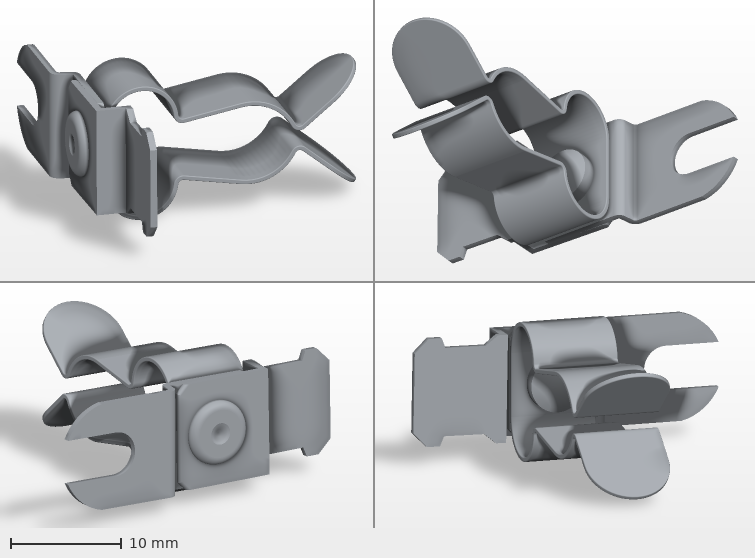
import cadquery as cq
import math


plate = 0.65
bracket_height = 9.97
shank_radius = 1.52

fork_tip_x = -16.55
fork_flat_length = 10.85
fork_end_x = 4.05
joggle_depth = 1.9
front_bend = 0.6
back_bend = 0.45
joggle_angle = 81
slot_radius = 2.07
slot_center_x = -11.5
prong_center_x = -11.85
prong_radius = 5.1
fork_corner = 0.73

tab_turn = 1.0
tab_left_x = -3.98
tab_wall_x = 5.6
tab_offset = 2.75
tab_corner = 0.8
tab_edge_round = 0.3
shoulder_x = 5.9
neck_start_x = 7.05
neck_end_x = 10.88
neck_half = 4.07
barb_x = 11.25
tab_end_x = 13.8
tab_end_corner = 1.3

strip = 0.43
strip_width = 8.0
strip_edge_round = 0.1
spring_height = 12.8
spring_bend = 0.65
loop_radius = 3.22
loop_sweep = 174
jaw_angle = 10
jaw_length = 5.45
jaw_radius = 4.65
jaw_sweep = 72
lip_angle = 39
lip_length = 7.33
lip_flat = 0.03

head_radius = 3.0
head_height = 0.75
dimple_radius = 1.0
dimple_depth = 0.45
tail_radius = 2.52
tail_length = 1.3
dome_height = 0.8


def strip_outline(plane, start, heading, steps, thickness):
    """Closed outline of a bent sheet that follows a centre line.

    Each step is (length,) for a straight or (radius, turn) for a bend;
    turn is in degrees, positive to the left.
    """
    half = thickness / 2

    def side_point(x, y, angle, side):
        return (x - side * half * math.sin(angle), y + side * half * math.cos(angle))

    x, y = start
    angle = math.radians(heading)
    first = {side: side_point(x, y, angle, side) for side in (1, -1)}
    sides = {1: [], -1: []}
    for step in steps:
        x0, y0, angle0 = x, y, angle
        middle = None
        if len(step) == 1:
            x = x0 + step[0] * math.cos(angle0)
            y = y0 + step[0] * math.sin(angle0)
        else:
            radius = math.copysign(step[0], step[1])
            center_x = x0 - radius * math.sin(angle0)
            center_y = y0 + radius * math.cos(angle0)
            angle = angle0 + math.radians(step[1])
            half_angle = (angle0 + angle) / 2
            middle = (center_x + radius * math.sin(half_angle),
                      center_y - radius * math.cos(half_angle), half_angle)
            x = center_x + radius * math.sin(angle)
            y = center_y - radius * math.cos(angle)
        for side in (1, -1):
            through = side_point(*middle, side) if middle else None
            sides[side].append((through, side_point(x, y, angle, side)))

    def draw(path, through, end):
        return path.threePointArc(through, end) if through else path.lineTo(*end)

    path = cq.Workplane(plane).moveTo(*first[1])
    for through, end in sides[1]:
        path = draw(path, through, end)
    path = path.lineTo(*sides[-1][-1][1])
    returns = [first[-1]] + [end for _, end in sides[-1][:-1]]
    for (through, _), end in zip(reversed(sides[-1]), reversed(returns)):
        path = draw(path, through, end)
    return path.close()


def along_y(radius, y_start, y_end):
    """Cylinder on the rivet axis."""
    return cq.Workplane("XZ", origin=(0, y_start, 0)).circle(radius).extrude(y_start - y_end)


rivet_hole = along_y(shank_radius, -plate, plate + strip)


def make_fork_bracket():
    rise = 1 - math.cos(math.radians(joggle_angle))
    run = math.sin(math.radians(joggle_angle))
    bend_sum = front_bend + back_bend
    web_length = (joggle_depth - bend_sum * rise) / run
    joggle_run = bend_sum * run + web_length * math.cos(math.radians(joggle_angle))
    steps = [
        (fork_flat_length,),
        (front_bend, joggle_angle),
        (web_length,),
        (back_bend, -joggle_angle),
        (fork_end_x - fork_tip_x - fork_flat_length - joggle_run,),
    ]
    start = (fork_tip_x, plate / 2 - joggle_depth)
    sheet = strip_outline("XY", start, 0, steps, plate).extrude(bracket_height / 2, both=True)
    sheet = sheet.edges("|Y and >X").chamfer(fork_corner)

    depth = 2 * joggle_depth
    prongs = cq.Workplane("XZ").center(prong_center_x, 0).circle(prong_radius).extrude(depth, both=True)
    body_length = fork_end_x - prong_center_x
    body = (
        cq.Workplane("XZ").center(prong_center_x + body_length / 2, 0)
        .rect(body_length, bracket_height).extrude(depth, both=True)
    )
    sheet = sheet.intersect(prongs.union(body))

    slot_length = slot_center_x - fork_tip_x
    slot = cq.Workplane("XZ").center(slot_center_x, 0).circle(slot_radius).extrude(depth, both=True)
    opening = (
        cq.Workplane("XZ").center(slot_center_x - slot_length, 0)
        .rect(2 * slot_length, 2 * slot_radius).extrude(depth, both=True)
    )
    slot = slot.union(opening)
    return sheet.cut(slot).cut(rivet_hole)


def make_tab_bracket():
    half = bracket_height / 2
    section = (
        cq.Workplane("XY")
        .moveTo(tab_left_x, 0)
        .lineTo(tab_left_x, -plate)
        .lineTo(tab_wall_x, -plate)
        .lineTo(tab_wall_x, tab_offset - plate)
        .lineTo(tab_end_x, tab_offset - plate)
        .lineTo(tab_end_x, tab_offset)
        .lineTo(tab_wall_x - plate, tab_offset)
        .lineTo(tab_wall_x - plate, 0)
        .close()
        .extrude(half, both=True)
    )
    upper = [
        (tab_left_x, half - tab_corner),
        (tab_left_x + tab_corner, half),
        (shoulder_x, half),
        (neck_start_x, neck_half),
        (neck_end_x, neck_half),
        (barb_x, half),
        (tab_end_x - tab_end_corner, half),
        (tab_end_x, half - tab_end_corner),
    ]
    lower = [(x, -z) for x, z in reversed(upper)]
    outline = cq.Workplane("XZ").polyline(upper + lower).close().extrude(2 * tab_offset, both=True)
    bracket = section.intersect(outline)

    end_region = cq.selectors.BoxSelector(
        (tab_left_x - plate, -2 * plate, -bracket_height),
        (tab_left_x + tab_corner, plate, bracket_height),
    )
    bracket = bracket.edges("not |Y").edges(end_region).fillet(tab_edge_round)
    return bracket.cut(rivet_hole).rotate((0, 0, 0), (0, -1, 0), tab_turn)


def make_spring():
    loop_center_z = spring_height / 2 - strip / 2 - loop_radius
    steps = [
        (loop_center_z,),
        (loop_radius, -loop_sweep),
        (spring_bend, loop_sweep - 90 + jaw_angle),
        (jaw_length,),
        (jaw_radius, -jaw_sweep),
        (spring_bend, lip_angle + jaw_sweep - jaw_angle),
        (lip_length,),
    ]
    start = (plate + strip / 2, 0)
    arm = strip_outline("YZ", start, 90, steps, strip).extrude(strip_width / 2, both=True)

    arm = arm.faces(">Y").edges("not |X").fillet(strip_width / 2 - lip_flat / 2)
    spring = arm.union(arm.mirror("XY"))

    side_edges = spring.faces("<X or >X").edges("not |X")
    spring = side_edges.fillet(strip_edge_round)
    return spring.cut(rivet_hole)


def make_rivet():
    head_y = -plate - head_height
    tail_y = plate + strip
    arc_mid = head_height * math.sqrt(0.5)
    dome_rim_y = tail_y + tail_length
    dome_radius = (tail_radius ** 2 + dome_height ** 2) / (2 * dome_height)
    dome_center_y = dome_rim_y + dome_height - dome_radius
    dome_mid_x = tail_radius / 2
    dome_mid_y = dome_center_y + math.sqrt(dome_radius ** 2 - dome_mid_x ** 2)
    flat_radius = head_radius - head_height
    return (
        cq.Workplane("XY")
        .moveTo(0, head_y + dimple_depth)
        .lineTo(dimple_radius, head_y)
        .lineTo(flat_radius, head_y)
        .threePointArc((flat_radius + arc_mid, -plate - arc_mid), (head_radius, -plate))
        .lineTo(shank_radius, -plate)
        .lineTo(shank_radius, tail_y)
        .lineTo(tail_radius, tail_y)
        .lineTo(tail_radius, dome_rim_y)
        .threePointArc((dome_mid_x, dome_mid_y), (0, dome_rim_y + dome_height))
        .close()
        .revolve(360, (0, 0, 0), (0, 1, 0))
    )


fork_bracket = make_fork_bracket()
tab_bracket = make_tab_bracket()
spring = make_spring()
rivet = make_rivet()

result = cq.Compound.makeCompound([
    fork_bracket.val(),
    tab_bracket.val(),
    spring.val(),
    rivet.val(),
])